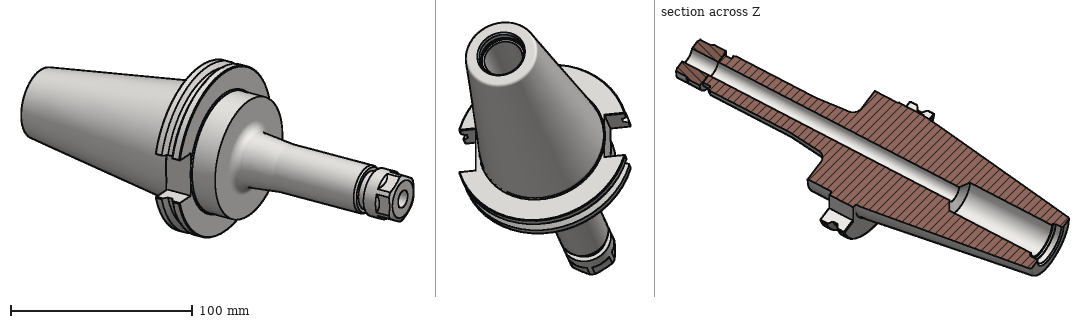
import cadquery as cq
import math


taper_end = 102.0
flange_start = 105.0
flange_end = 120.8
collar_end = 136.4
neck_taper_end = 161.2
shank_end = 214.8
nut_start = 219.7
hex_start = 227.5
total_length = 236.8

taper_ratio = 7 / 24
gauge_diameter = 70.0
rim_fillet = 1.7
land_diameter = 70.0
flange_diameter = 97.5
flange_chamfer = 0.5
flange_root_fillet = 0.7
collar_diameter = 69.8
neck_root_diameter = 31.3
neck_fillet = 5.5
shank_diameter = 27.5
shank_chamfer_length = 1.5
shank_chamfer_height = 0.7
stub_diameter = 22.0

groove_center = 112.7
groove_mouth_width = 7.0
groove_floor_width = 2.8
groove_floor_diameter = 91.5

slot_width = 25.8
slot_floor_front = 35.3
slot_floor_back = 37.5
slot_edge_chamfer = 0.5

mouth_diameter = 27.0
counterbore_diameter = 25.0
counterbore_depth = 4.5
bore_step_diameter = 24.2
bore_step_length = 1.5
stud_bore_diameter = 21.5
stud_bore_depth = 59.2
drill_point_angle = 118.0
through_diameter = 10.0

nut_diameter = 27.5
hex_across_flats = 25.0
ring_chamfer_length = 2.0
nut_chamfer_length = 1.2
nut_face_diameter = 21.5


def revolve_profile(sketch):
    """Revolve a closed half-profile, drawn as (x, radius), about the X axis."""
    return sketch.close().revolve(360, (0, 0, 0), (1, 0, 0))


def holder_blank():
    small_radius = (gauge_diameter - taper_ratio * taper_end) / 2
    land_radius = land_diameter / 2
    collar_radius = collar_diameter / 2
    neck_radius = neck_root_diameter / 2
    flange_radius = flange_diameter / 2
    shank_radius = shank_diameter / 2
    taper = revolve_profile(
        cq.Workplane("XY")
        .moveTo(0, 0)
        .lineTo(0, small_radius)
        .lineTo(taper_end, gauge_diameter / 2)
        .lineTo(taper_end, 0)
    )
    taper = taper.faces("<X").edges().fillet(rim_fillet)
    rest = revolve_profile(
        cq.Workplane("XY")
        .moveTo(taper_end, 0)
        .lineTo(taper_end, land_radius)
        .lineTo(flange_start - flange_root_fillet, land_radius)
        .radiusArc((flange_start, land_radius + flange_root_fillet), -flange_root_fillet)
        .lineTo(flange_start, flange_radius - flange_chamfer)
        .lineTo(flange_start + flange_chamfer, flange_radius)
        .lineTo(flange_end - flange_chamfer, flange_radius)
        .lineTo(flange_end, flange_radius - flange_chamfer)
        .lineTo(flange_end, collar_radius + flange_root_fillet)
        .radiusArc((flange_end + flange_root_fillet, collar_radius), -flange_root_fillet)
        .lineTo(collar_end, collar_radius)
        .lineTo(collar_end, neck_radius + neck_fillet)
        .radiusArc((collar_end + neck_fillet, neck_radius), -neck_fillet)
        .lineTo(neck_taper_end, shank_radius)
        .lineTo(shank_end - shank_chamfer_length, shank_radius)
        .lineTo(shank_end, shank_radius - shank_chamfer_height)
        .lineTo(shank_end, stub_diameter / 2)
        .lineTo(nut_start, stub_diameter / 2)
        .lineTo(nut_start, 0)
    )
    return taper.union(rest)


def flange_groove():
    flange_radius = flange_diameter / 2
    floor_radius = groove_floor_diameter / 2
    return revolve_profile(
        cq.Workplane("XY")
        .moveTo(groove_center - groove_mouth_width / 2, flange_radius)
        .lineTo(groove_center - groove_floor_width / 2, floor_radius)
        .lineTo(groove_center + groove_floor_width / 2, floor_radius)
        .lineTo(groove_center + groove_mouth_width / 2, flange_radius)
    )


def drive_slot(side, floor_distance):
    """Slot through the flange on the -Y (side = -1) or +Y (side = 1) side.

    Its walls are chamfered along the flange face towards the taper and along the flange rim.
    """
    half_width = slot_width / 2
    mouth_half_width = half_width + slot_edge_chamfer
    flange_radius = flange_diameter / 2
    rim_distance = math.sqrt(flange_radius**2 - mouth_half_width**2)
    flare_start = rim_distance - slot_edge_chamfer
    flare_growth = flange_radius - flare_start
    face_flare = (
        cq.Workplane("XZ", origin=(0, side * floor_distance, 0))
        .moveTo(flange_start, -mouth_half_width)
        .lineTo(flange_start + slot_edge_chamfer, -half_width)
        .lineTo(flange_end, -half_width)
        .lineTo(flange_end, half_width)
        .lineTo(flange_start + slot_edge_chamfer, half_width)
        .lineTo(flange_start, mouth_half_width)
        .close()
        .extrude(-side * (flange_radius - floor_distance))
    )
    rim_flare = (
        cq.Workplane("YZ", origin=(flange_start, 0, 0))
        .moveTo(side * flare_start, -half_width)
        .lineTo(side * flange_radius, -half_width - flare_growth)
        .lineTo(side * flange_radius, half_width + flare_growth)
        .lineTo(side * flare_start, half_width)
        .close()
        .extrude(flange_end - flange_start)
    )
    return face_flare.union(rim_flare)


def holder_bore():
    mouth_radius = mouth_diameter / 2
    counterbore_radius = counterbore_diameter / 2
    step_radius = bore_step_diameter / 2
    bore_radius = stud_bore_diameter / 2
    through_radius = through_diameter / 2
    half_angle = math.radians(drill_point_angle / 2)
    cone_length = (bore_radius - through_radius) / math.tan(half_angle)
    return revolve_profile(
        cq.Workplane("XY")
        .moveTo(0, 0)
        .lineTo(0, mouth_radius)
        .lineTo(mouth_radius - counterbore_radius, counterbore_radius)
        .lineTo(counterbore_depth, counterbore_radius)
        .lineTo(counterbore_depth, step_radius)
        .lineTo(counterbore_depth + bore_step_length, step_radius)
        .lineTo(counterbore_depth + bore_step_length, bore_radius)
        .lineTo(stud_bore_depth, bore_radius)
        .lineTo(stud_bore_depth + cone_length, through_radius)
        .lineTo(nut_start, through_radius)
        .lineTo(nut_start, 0)
    )


def make_holder():
    holder = holder_blank().cut(flange_groove())
    holder = holder.cut(drive_slot(-1, slot_floor_front))
    holder = holder.cut(drive_slot(1, slot_floor_back))
    return holder.cut(holder_bore())


def make_nut():
    nut_radius = nut_diameter / 2
    flat_radius = hex_across_flats / 2
    ring = revolve_profile(
        cq.Workplane("XY")
        .moveTo(nut_start, 0)
        .lineTo(nut_start, nut_radius)
        .lineTo(hex_start, nut_radius)
        .lineTo(hex_start + ring_chamfer_length, flat_radius)
        .lineTo(hex_start + ring_chamfer_length, 0)
    )
    rounded_end = revolve_profile(
        cq.Workplane("XY")
        .moveTo(hex_start, 0)
        .lineTo(hex_start, nut_radius)
        .lineTo(total_length - nut_chamfer_length, nut_radius)
        .lineTo(total_length, nut_face_diameter / 2)
        .lineTo(total_length, 0)
    )
    across_corners = hex_across_flats / math.cos(math.pi / 6)
    hexagon = (
        cq.Workplane("YZ", origin=(hex_start, 0, 0))
        .polygon(6, across_corners)
        .extrude(total_length - hex_start)
        .rotate((0, 0, 0), (1, 0, 0), 30)
    )
    bore = (
        cq.Workplane("YZ", origin=(nut_start, 0, 0))
        .circle(through_diameter / 2)
        .extrude(total_length - nut_start)
    )
    return ring.union(hexagon.intersect(rounded_end)).cut(bore)


holder = make_holder()
nut = make_nut()

result = cq.Compound.makeCompound([holder.val(), nut.val()])